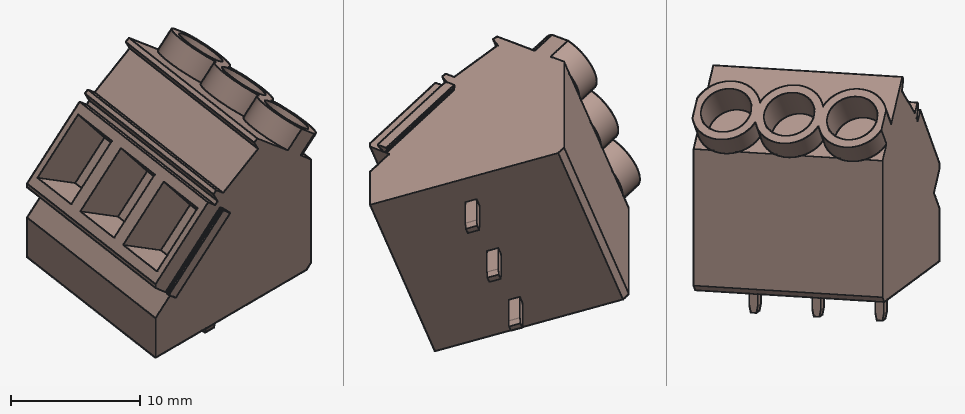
import cadquery as cq
import math

poles = 3
pitch = 5.08
width = poles * pitch
SIN45 = math.sqrt(0.5)

back = 15.92
apex_height = 16.8
bottom_chamfer = 0.48
lower_front_height = 4.17
notch_depth = 1.57
front_lip_bottom = 7.34
front_lip_top = 7.74
face_length = 7.6

groove_width = 0.37
groove_depth = 1.03
lip_front = 0.76
lip_back = 1.14
lip_back_drop = 0.05
recess_end = 5.42
recess_depth = 1.8
top_lip_front = 5.78
top_lip_front_drop = 0.88
apex_along = 6.176

pocket_width = 4.0
pocket_length = 5.88
pocket_depth = 4.75
pocket_upper_draft = 0.95
pocket_lower_draft = 0.7

collar_radius = 2.7
collar_height = 2.0
collar_bore_radius = 2.0
collar_bore_depth = 3.0
collar_distance = 5.31

rib_neck_thickness = 0.45
rib_head_thickness = 1.0
rib_neck_end = 0.13
rib_head_start = 0.43
rib_reach = 0.6
rib_depth = 1.97

pin_width = 0.7
pin_thickness = 0.93
pin_length = 3.2
pin_tip_length = 0.6
pin_tip_width = 0.45
pin_y = 7.52

pole_positions = [(i + 0.5) * pitch for i in range(poles)]
face_top_y = face_length * SIN45
face_top_z = front_lip_top + face_length * SIN45


def on_face(along, out):
    """YZ point given up the slope from the face's upper edge and outward from the face."""
    return (face_top_y + (along - out) * SIN45, face_top_z + (along + out) * SIN45)


notch_bottom_z = lower_front_height + notch_depth
apex_y = face_top_y + 2 * apex_along * SIN45 - (apex_height - face_top_z)
apex = (apex_y, apex_height)
rear_slope_end_z = apex_height - (back - apex_y)
rib_length = face_length + (front_lip_top - front_lip_bottom) * SIN45


def make_body():
    outline = [
        (0, 0),
        (0, lower_front_height),
        (notch_depth, notch_bottom_z),
        (0, front_lip_bottom),
        (0, front_lip_top),
        on_face(0, 0),
        on_face(0, -groove_depth),
        on_face(groove_width, -groove_depth),
        on_face(lip_front, 0),
        on_face(lip_back, -lip_back_drop),
        on_face(lip_back, -groove_depth),
        on_face(recess_end, -recess_depth),
        on_face(top_lip_front, -top_lip_front_drop),
        apex,
        (back, rear_slope_end_z),
        (back, bottom_chamfer),
        (back - bottom_chamfer, 0),
    ]
    return cq.Workplane("YZ").polyline(outline).close().extrude(width)


def make_pocket(x):
    """Cutter for one wire entry pocket, centred on the entry face."""
    middle = -face_length / 2
    half_mouth = pocket_length / 2
    outline = [
        on_face(middle - half_mouth, 0),
        on_face(middle + half_mouth, 0),
        on_face(middle + half_mouth - pocket_upper_draft, -pocket_depth),
        on_face(middle - half_mouth + pocket_lower_draft, -pocket_depth),
    ]
    side = cq.Workplane("YZ", origin=(x - pocket_width / 2, 0, 0))
    return side.polyline(outline).close().extrude(pocket_width)


def collar_plane(x):
    """Plane on the rear slope, centred on the screw of one pole and facing up and back."""
    shift = collar_distance * SIN45
    origin = (x, apex_y + shift, apex_height - shift)
    return cq.Workplane(cq.Plane(origin=origin, xDir=(1, 0, 0), normal=(0, 1, 1)))


def make_collar(x):
    """Round collar with flats where it meets its neighbours and the housing sides."""
    collar = collar_plane(x).circle(collar_radius).extrude(collar_height)
    pole_slab = collar_plane(x).rect(pitch, 2 * collar_radius).extrude(collar_height)
    return collar.intersect(pole_slab)


def make_collar_bore(x):
    top = collar_plane(x).workplane(offset=collar_height)
    return top.circle(collar_bore_radius).extrude(-collar_bore_depth)


def make_rib():
    """Dovetail rib running from the notch wall up to the groove wall."""
    start_y, start_z = on_face(-rib_length, -rib_depth)
    plane = cq.Plane(origin=(width, start_y, start_z), xDir=(1, 0, 0), normal=(0, 1, 1))
    half_neck = rib_neck_thickness / 2
    half_head = rib_head_thickness / 2
    section = [
        (0, -half_neck),
        (rib_neck_end, -half_neck),
        (rib_head_start, -half_head),
        (rib_reach, -half_head),
        (rib_reach, half_head),
        (rib_head_start, half_head),
        (rib_neck_end, half_neck),
        (0, half_neck),
    ]
    return cq.Workplane(plane).polyline(section).close().extrude(rib_length)


def make_housing():
    body = make_body().union(make_rib())
    for x in pole_positions:
        body = body.union(make_collar(x))
    for x in pole_positions:
        body = body.cut(make_pocket(x)).cut(make_collar_bore(x))
    return body


def make_pin(x):
    """Flat solder pin under the housing, narrowed at its tip."""
    half_width = pin_width / 2
    half_tip = pin_tip_width / 2
    shoulder_z = pin_tip_length - pin_length
    outline = [
        (-half_width, 0),
        (half_width, 0),
        (half_width, shoulder_z),
        (half_tip, -pin_length),
        (-half_tip, -pin_length),
        (-half_width, shoulder_z),
    ]
    middle = cq.Workplane("XZ", origin=(x, pin_y, 0))
    return middle.polyline(outline).close().extrude(pin_thickness / 2, both=True)


housing = make_housing()
pins = [make_pin(x) for x in pole_positions]

result = cq.Compound.makeCompound([housing.solids().val(), *[pin.val() for pin in pins]])